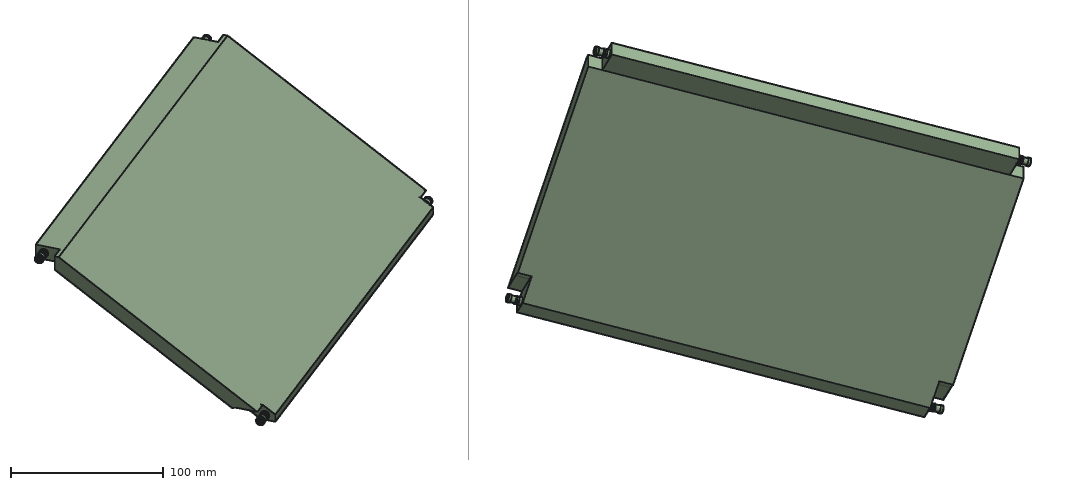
import cadquery as cq
import math

length_x = 168.5
length_y = 307.7
height_z = 99.5
thickness = 10.2
flange_width = 20.0
edge_height = 5.5

notch_depth = 10.0
low_notch_height = 11.0
low_notch_flat_start = 146.2
low_notch_radius = 10.0

rib_diameter = 6.0
neck_diameter = 5.0
bore_diameter = 3.0
bore_depth = 1.5
collar_length = 2.0
head_length = 2.2
ridge_peak = 3.7
ridge_half_width = 0.5
high_pin_x = 6.0
low_pin_inset = 7.0
low_pin_z = 4.0
high_pin_z = height_z - thickness / 2

half_length = length_y / 2
notch_face = half_length - notch_depth
underside_z = height_z - thickness
slope = math.atan2(height_z - edge_height, length_x - flange_width)
inner_bend_x = flange_width - thickness * math.tan(slope / 2)
toe_x = inner_bend_x + underside_z / math.tan(slope)


def extrude_between(profile, y_start, y_end):
    """Extrude an XZ profile from y_start to y_end."""
    return profile.extrude(y_start - y_end).translate((0, y_start, 0))


def make_bent_sheet():
    profile = (
        cq.Workplane("XZ")
        .moveTo(0, height_z)
        .lineTo(flange_width, height_z)
        .lineTo(length_x, edge_height)
        .lineTo(length_x, 0)
        .lineTo(toe_x, 0)
        .lineTo(inner_bend_x, underside_z)
        .lineTo(0, underside_z)
        .close()
    )
    return extrude_between(profile, -half_length, half_length)


def make_high_notch(y_start, y_end):
    """Removes the flange up to the inner corner of the bend."""
    profile = (
        cq.Workplane("XZ")
        .moveTo(0, underside_z)
        .lineTo(inner_bend_x, underside_z)
        .lineTo(inner_bend_x, height_z)
        .lineTo(0, height_z)
        .close()
    )
    return extrude_between(profile, y_start, y_end)


def make_low_notch(y_start, y_end):
    """Removes the low end of the leaf below a level ceiling with a rounded inner end."""
    ceiling_end_x = low_notch_flat_start - low_notch_radius
    profile = (
        cq.Workplane("XZ")
        .moveTo(length_x, 0)
        .lineTo(length_x, low_notch_height)
        .lineTo(low_notch_flat_start, low_notch_height)
        .radiusArc((ceiling_end_x, low_notch_height - low_notch_radius), -low_notch_radius)
        .lineTo(ceiling_end_x, 0)
        .close()
    )
    return extrude_between(profile, y_start, y_end)


def make_panel():
    panel = make_bent_sheet()
    for y_start, y_end in [(-half_length, -notch_face), (notch_face, half_length)]:
        panel = panel.cut(make_high_notch(y_start, y_end))
        panel = panel.cut(make_low_notch(y_start, y_end))
    return panel


def make_pin(x, z, side):
    """Spool along Y with a collar, a sharp ridge and a bored head; side is -1 or +1."""
    rib_radius = rib_diameter / 2
    neck_radius = neck_diameter / 2
    bore_radius = bore_diameter / 2
    head_start = notch_depth - head_length
    end_chamfer = rib_radius - neck_radius
    bore_floor = notch_depth - bore_depth
    profile = (
        cq.Workplane("XY")
        .lineTo(rib_radius, 0)
        .lineTo(rib_radius, collar_length)
        .lineTo(neck_radius, collar_length)
        .lineTo(neck_radius, ridge_peak - ridge_half_width)
        .lineTo(rib_radius, ridge_peak)
        .lineTo(neck_radius, ridge_peak + ridge_half_width)
        .lineTo(neck_radius, head_start)
        .lineTo(rib_radius, head_start)
        .lineTo(rib_radius, notch_depth - end_chamfer)
        .lineTo(neck_radius, notch_depth)
        .lineTo(bore_radius, notch_depth)
        .lineTo(bore_radius, bore_floor)
        .lineTo(0, bore_floor)
        .close()
    )
    pin = profile.revolve(360, (0, 0), (0, 1))
    if side < 0:
        pin = pin.rotate((0, 0, 0), (1, 0, 0), 180)
    return pin.translate((x, side * notch_face, z))


panel = make_panel()

pin_axes = [
    (high_pin_x, high_pin_z),
    (length_x - low_pin_inset, low_pin_z),
]
pins = []
for pin_x, pin_z in pin_axes:
    for side in (-1, 1):
        pins.append(make_pin(pin_x, pin_z, side).val())

result = cq.Compound.makeCompound([panel.val(), *pins])